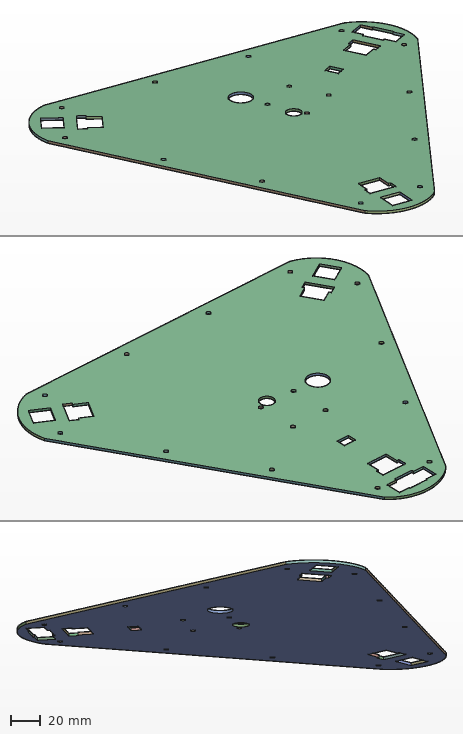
import cadquery as cq
import math

width = 300.5
depth = 269.5
thickness = 2.0
corner_radius = 40.0
corner_step = 120
corner_angles = (0, corner_step, 2 * corner_step)
lower_corner_tilt = math.radians(30)
corner_distance = (width / 2 - corner_radius) / math.cos(lower_corner_tilt)
edge_distance = depth - corner_distance - corner_radius

small_hole_diameter = 3.3
edge_hole_spacing = 75.0
edge_holes_per_side = 4
edge_hole_distance = 92.5

pattern_width = 30.0
pattern_depth = 32.0
pattern_center_y = 33.3

large_opening_diameter = 17.0
large_opening_center = (-36.0, 18.5)
medium_opening_diameter = 11.5
medium_opening_center = (6.5, 14.0)

corner_window_width = 15.5
corner_window_limits = (143.5, 159.0)
wide_window_width = 33.3
wide_window_limits = (145.5, 158.0)
stepped_window_width = 17.0
stepped_window_limits = (117.2, 134.5)
step_width = 20.7
step_start = 128.0
inner_window_width = 10.2
inner_window_limits = (83.0, 90.0)


def rotated(shape, angle):
    """Turn a shape about the plate's central axis."""
    return shape.rotate((0, 0, 0), (0, 0, 1), angle)


def window(opening_width, y_limits):
    """Rectangular cutter centred on the Y axis."""
    low, high = y_limits
    return (
        cq.Workplane("XY")
        .center(0, (low + high) / 2)
        .rect(opening_width, high - low)
        .extrude(thickness)
    )


def round_holes(diameter, centers):
    """Cylindrical cutters through the plate."""
    return cq.Workplane("XY").pushPoints(centers).circle(diameter / 2).extrude(thickness)


def make_plate():
    """Straight edges slightly truncate the corner arcs, leaving faint corners where they meet."""
    center_x = corner_distance * math.cos(lower_corner_tilt)
    center_y = -corner_distance * math.sin(lower_corner_tilt)
    rise = edge_distance + center_y
    edge_half_length = center_x + math.sqrt(corner_radius**2 - rise**2)

    def turned(x, y, degrees):
        angle = math.radians(degrees)
        return (
            x * math.cos(angle) - y * math.sin(angle),
            x * math.sin(angle) + y * math.cos(angle),
        )

    outline = cq.Workplane("XY").moveTo(-edge_half_length, -edge_distance)
    corner_tip = (0, corner_distance + corner_radius)
    for angle in corner_angles:
        outline = outline.lineTo(*turned(edge_half_length, -edge_distance, angle))
        arc_middle = turned(*corner_tip, angle - corner_step)
        arc_end = turned(-edge_half_length, -edge_distance, angle + corner_step)
        outline = outline.threePointArc(arc_middle, arc_end)
    return outline.close().extrude(thickness)


plate = make_plate()

first_hole_x = -edge_hole_spacing * (edge_holes_per_side - 1) / 2
edge_hole_centers = [
    (first_hole_x + index * edge_hole_spacing, -edge_hole_distance)
    for index in range(edge_holes_per_side)
]
edge_holes = round_holes(small_hole_diameter, edge_hole_centers)
corner_window = window(corner_window_width, corner_window_limits)
stepped_window = window(stepped_window_width, stepped_window_limits).union(
    window(step_width, (step_start, stepped_window_limits[1]))
)
for angle in corner_angles:
    for cutter in (edge_holes, corner_window, stepped_window):
        plate = plate.cut(rotated(cutter, angle))

plate = plate.cut(window(wide_window_width, wide_window_limits))
plate = plate.cut(window(inner_window_width, inner_window_limits))

pattern_centers = [
    (side_x * pattern_width / 2, pattern_center_y + side_y * pattern_depth / 2)
    for side_x in (-1, 1)
    for side_y in (-1, 1)
]
plate = plate.cut(round_holes(small_hole_diameter, pattern_centers))
plate = plate.cut(round_holes(large_opening_diameter, [large_opening_center]))
plate = plate.cut(round_holes(medium_opening_diameter, [medium_opening_center]))

result = plate